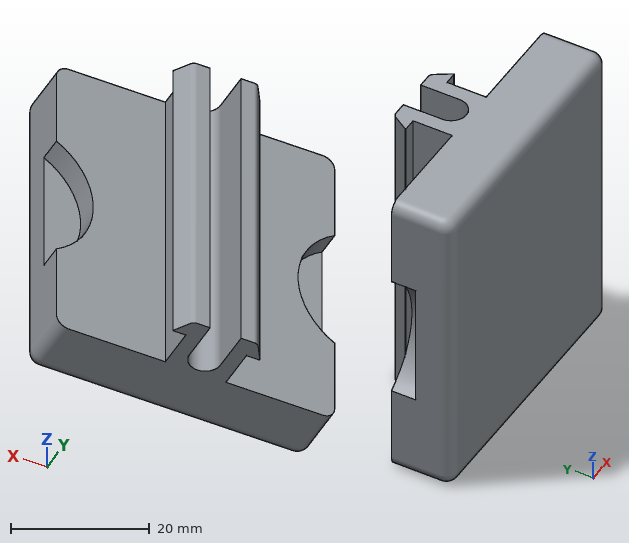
import cadquery as cq
import math

PLATE_WIDTH = 45.0
PLATE_THICKNESS = 10.0
PLATE_HEIGHT = 50.0
EDGE_RADIUS = 2.0

CLIP_DEPTH = 9.5
STEM_WIDTH = 9.8
BARB_SPAN = 14.0
BARB_DEPTH = 3.0
BARB_TIP_LAND = 0.1
BARB_FLANK_ANGLE = 58.0
CROWN_RADIUS = 1.0
SLOT_WIDTH = 5.0
SLOT_FLOOR = 0.5

RECESS_RADIUS = 12.0
RECESS_AXIS_OFFSET = 6.05
RECESS_DEPTH = 4.0

CLIP_TOP = PLATE_THICKNESS + CLIP_DEPTH
BARB_LEDGE = CLIP_TOP - BARB_DEPTH


def make_plate():
    """Plate reaching back from Y = 0; all edges but the back rim are rounded."""
    plate = cq.Workplane("XY").box(
        PLATE_WIDTH, PLATE_THICKNESS, PLATE_HEIGHT, centered=(True, False, True)
    )
    return plate.edges("|Y or <Y").fillet(EDGE_RADIUS)


def make_clip():
    """Solid stem with a barb on each side and rounded crown corners."""
    flank_run = (BARB_DEPTH - BARB_TIP_LAND) / math.tan(math.radians(BARB_FLANK_ANGLE))
    crown_half_width = BARB_SPAN / 2 - flank_run
    right_side = [
        (STEM_WIDTH / 2, PLATE_THICKNESS),
        (STEM_WIDTH / 2, BARB_LEDGE),
        (BARB_SPAN / 2, BARB_LEDGE),
        (BARB_SPAN / 2, BARB_LEDGE + BARB_TIP_LAND),
        (crown_half_width, CLIP_TOP),
    ]
    left_side = [(-x, y) for x, y in reversed(right_side)]
    clip = (
        cq.Workplane("XY")
        .polyline(right_side + left_side)
        .close()
        .extrude(PLATE_HEIGHT / 2, both=True)
    )
    return clip.edges("|Z and >Y").fillet(CROWN_RADIUS)


def make_slot():
    """Round-bottomed slot that splits the clip into two spring legs."""
    slot_radius = SLOT_WIDTH / 2
    round_center = PLATE_THICKNESS + SLOT_FLOOR + slot_radius
    return (
        cq.Workplane("XY")
        .moveTo(-slot_radius, CLIP_TOP)
        .lineTo(-slot_radius, round_center)
        .threePointArc((0, round_center - slot_radius), (slot_radius, round_center))
        .lineTo(slot_radius, CLIP_TOP)
        .close()
        .extrude(PLATE_HEIGHT / 2, both=True)
    )


def make_recess(side):
    """Cylinder along Y cutting into one side face; side is -1 or +1."""
    axis_x = side * (PLATE_WIDTH / 2 + RECESS_AXIS_OFFSET)
    return (
        cq.Workplane("XZ", origin=(axis_x, PLATE_THICKNESS, 0))
        .circle(RECESS_RADIUS)
        .extrude(RECESS_DEPTH)
    )


result = make_plate().union(make_clip()).cut(make_slot())
for side in (-1, 1):
    result = result.cut(make_recess(side))

result = result.translate((0, -CLIP_TOP / 2, 0))